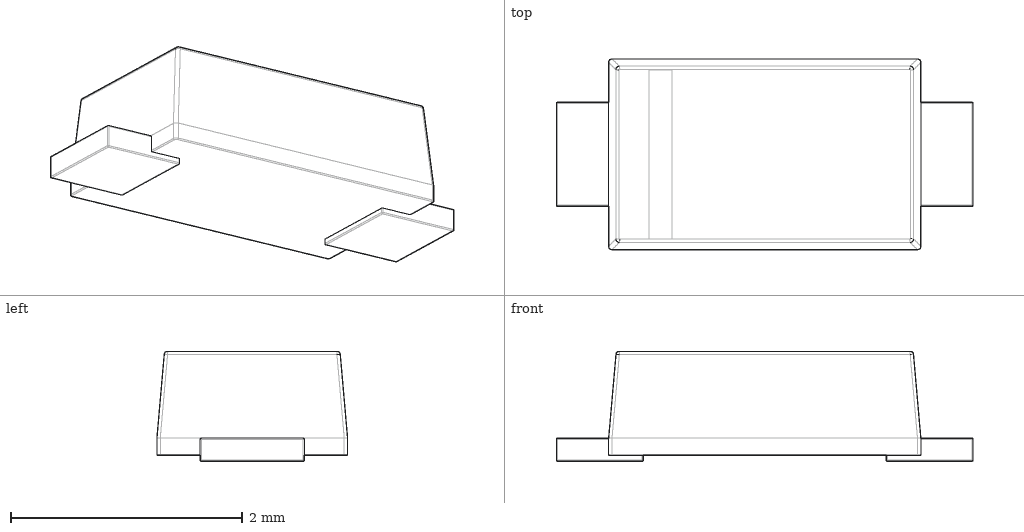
import cadquery as cq
import math

OVERALL_LENGTH = 3.6
OVERALL_HEIGHT = 0.95

BODY_LENGTH = 2.7
BODY_WIDTH = 1.65
STANDOFF = 0.05
DRAFT_ANGLE = 5.0
BODY_CORNER_RADIUS = 0.03
BODY_TOP_RADIUS = 0.029
BODY_BOTTOM_RADIUS = 0.01

LEAD_LENGTH = 0.75
LEAD_WIDTH = 0.9
LEAD_THICKNESS = 0.2
LEAD_EDGE_RADIUS = 0.01

BAND_LEFT_X = -1.0
BAND_WIDTH = 0.2
BAND_DEPTH = 0.02

draft_height = OVERALL_HEIGHT - LEAD_THICKNESS
draft_inset = draft_height * math.tan(math.radians(DRAFT_ANGLE))

band_length = BODY_WIDTH - 2 * (draft_inset + BODY_TOP_RADIUS)


def rounded_outline(inset):
    """Body outline with rounded corners, drawn in by the inset on every side."""
    return (
        cq.Sketch()
        .rect(BODY_LENGTH - 2 * inset, BODY_WIDTH - 2 * inset)
        .vertices()
        .fillet(BODY_CORNER_RADIUS)
    )


def make_body():
    """Straight base and drafted upper block with rounded edges."""
    base = (
        cq.Workplane("XY", origin=(0, 0, STANDOFF))
        .placeSketch(rounded_outline(0))
        .extrude(LEAD_THICKNESS - STANDOFF)
        .faces("<Z")
        .edges()
        .fillet(BODY_BOTTOM_RADIUS)
    )
    upper = (
        cq.Workplane("XY", origin=(0, 0, LEAD_THICKNESS))
        .placeSketch(
            rounded_outline(0),
            rounded_outline(draft_inset).moved(cq.Location(cq.Vector(0, 0, draft_height))),
        )
        .loft(ruled=True)
        .faces(">Z")
        .edges()
        .fillet(BODY_TOP_RADIUS)
    )
    return base.union(upper)


def make_lead(side):
    """Flat lead with all edges rounded, at the -X (side = -1) or +X (side = 1) end."""
    center_x = side * (OVERALL_LENGTH - LEAD_LENGTH) / 2
    return (
        cq.Workplane("XY")
        .box(LEAD_LENGTH, LEAD_WIDTH, LEAD_THICKNESS, centered=(True, True, False))
        .translate((center_x, 0, 0))
        .edges()
        .fillet(LEAD_EDGE_RADIUS)
    )


def inlay_band(part):
    """Set a flush band into the top, keeping its seams as face boundaries."""
    band = (
        cq.Workplane("XY")
        .box(BAND_WIDTH, band_length, BAND_DEPTH, centered=(False, True, False))
        .translate((BAND_LEFT_X, 0, OVERALL_HEIGHT - BAND_DEPTH))
    )
    return part.cut(band).union(band, clean=False)


package = make_body()
for lead_side in (-1, 1):
    package = package.union(make_lead(lead_side))

result = inlay_band(package)